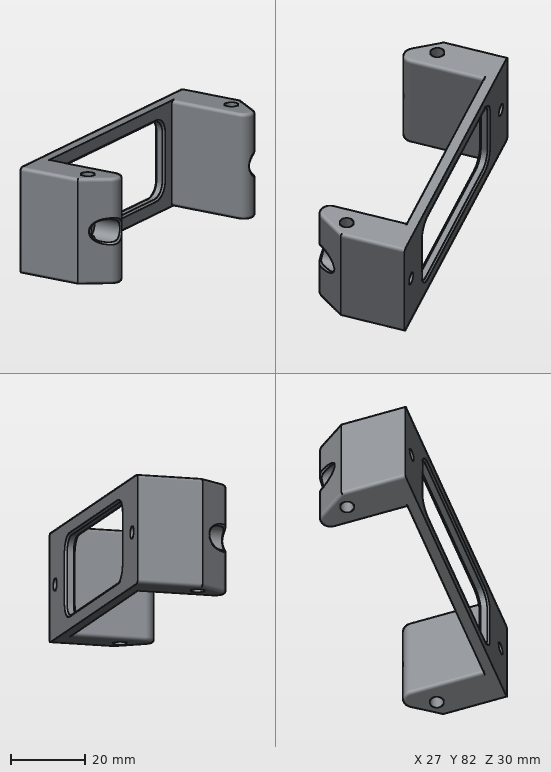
import cadquery as cq
import math

depth = 27.0
length = 82.0
height = 30.0

plate_thickness = 2.95
arm_width = 10.7
slant_start = 18.3
tip_radius = 2.95
edge_fillet = 1.0

window_length = 52.8
window_height = 22.0
window_corner_radius = 4.0
window_chamfer = 0.6

screw_y = 35.7
screw_diameter = 3.4
counterbore_diameter = 6.5
counterbore_floor = slant_start
counterbore_chamfer = 0.6

pin_x = 18.4
pin_y = 36.0
pin_diameter = 3.8

rim_tolerance = 0.01

half_length = length / 2
arm_inner_y = half_length - arm_width
tip_x = depth - tip_radius
tip_y = arm_inner_y + tip_radius


def tip_point(angle):
    """Point on the tip circle at an angle measured from +X."""
    return (tip_x + tip_radius * math.cos(angle), tip_y + tip_radius * math.sin(angle))


def cylinder_along_x(diameter, start, end):
    """Cylinder on the screw axis of the +Y arm."""
    return (
        cq.Workplane("YZ", origin=(start, screw_y, 0))
        .circle(diameter / 2)
        .extrude(end - start)
    )


def make_arm():
    """The +Y arm, with a slanted outer flank tangent to its round tip."""
    corner_dx = slant_start - tip_x
    corner_dy = half_length - tip_y
    corner_distance = math.hypot(corner_dx, corner_dy)
    tangent_angle = math.atan2(corner_dy, corner_dx) - math.acos(tip_radius / corner_distance)
    arc_middle_angle = (tangent_angle - math.pi / 2) / 2

    body = (
        cq.Workplane("XY", origin=(0, 0, -height / 2))
        .moveTo(0, arm_inner_y)
        .lineTo(0, half_length)
        .lineTo(slant_start, half_length)
        .lineTo(*tip_point(tangent_angle))
        .threePointArc(tip_point(arc_middle_angle), (tip_x, arm_inner_y))
        .close()
        .extrude(height)
    )

    rims = body.faces("|Z").edges().filter(lambda edge: edge.Center().x > rim_tolerance)
    rounded = rims.fillet(edge_fillet)
    inner_strip = cq.Workplane("XY", origin=(0, arm_inner_y, 0)).box(
        plate_thickness, arm_width / 2, height, centered=(False, False, True)
    )
    body = rounded.union(inner_strip)

    body = body.cut(cylinder_along_x(counterbore_diameter, counterbore_floor, depth))
    bore_radius = counterbore_diameter / 2

    def is_bore_rim(edge):
        middle = edge.positionAt(0.5)
        from_axis = math.hypot(middle.y - screw_y, middle.z)
        return middle.x > counterbore_floor + rim_tolerance and abs(from_axis - bore_radius) < rim_tolerance

    return body.edges().filter(is_bore_rim).chamfer(counterbore_chamfer)


def make_plate():
    """Plate between the arms, with a rounded window chamfered at both faces."""
    window = (
        cq.Workplane("YZ")
        .rect(window_length, window_height)
        .extrude(plate_thickness)
        .edges("|X")
        .fillet(window_corner_radius)
    )
    plate = cq.Workplane("XY").box(
        plate_thickness, 2 * arm_inner_y, height, centered=(False, True, True)
    )

    def is_window_rim(edge):
        center = edge.Center()
        return abs(center.y) < arm_inner_y - rim_tolerance and abs(center.z) < height / 2 - rim_tolerance

    return plate.cut(window).faces("<X or >X").edges().filter(is_window_rim).chamfer(window_chamfer)


screw_hole = cylinder_along_x(screw_diameter, 0, depth)
pin_hole = cq.Workplane("XY").center(pin_x, pin_y).circle(pin_diameter / 2).extrude(height, both=True)
arm = make_arm().cut(screw_hole).cut(pin_hole)

result = make_plate().union(arm).union(arm.mirror("XZ"))